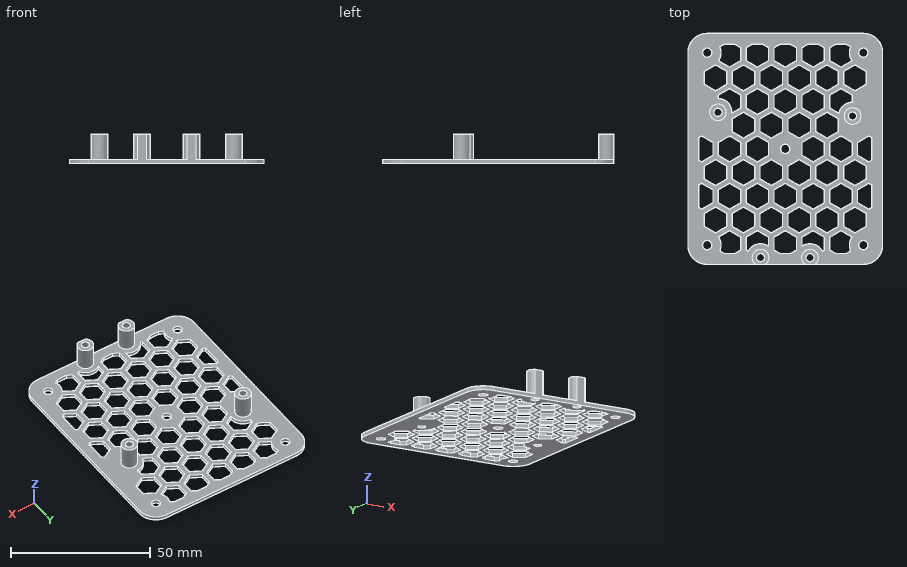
import cadquery as cq

PLATE_WIDTH = 70.0
PLATE_LENGTH = 83.0
PLATE_THICKNESS = 1.5
CORNER_RADIUS = 7.0
MOUNT_HOLE_DIAMETER = 3.2

HEX_ACROSS_CORNERS = 9.2
LAST_ROW = 4
LAST_COLUMN = 3
GRID_SPAN_X = 60.0
GRID_SPAN_Y = 68.0
HEX_PITCH = GRID_SPAN_X / (2 * LAST_COLUMN)
ROW_PITCH = GRID_SPAN_Y / (2 * LAST_ROW)
BORDER = 4.0
PAD_DIAMETER = 10.05

TOTAL_HEIGHT = 10.5
STANDOFF_DIAMETER = 6.0
STANDOFF_BORE = 2.8
UPPER_STANDOFF_X = 24.15
LEFT_STANDOFF_Y = 13.1
RIGHT_STANDOFF_Y = 11.8
LOWER_STANDOFF_X = 8.9
LOWER_STANDOFF_Y = -39.0

MOUNT_X = PLATE_WIDTH / 2 - CORNER_RADIUS
MOUNT_Y = PLATE_LENGTH / 2 - CORNER_RADIUS
MOUNT_POINTS = [(0, 0)] + [(sx * MOUNT_X, sy * MOUNT_Y) for sx in (-1, 1) for sy in (-1, 1)]
STANDOFF_POINTS = [
    (-UPPER_STANDOFF_X, LEFT_STANDOFF_Y),
    (UPPER_STANDOFF_X, RIGHT_STANDOFF_Y),
    (-LOWER_STANDOFF_X, LOWER_STANDOFF_Y),
    (LOWER_STANDOFF_X, LOWER_STANDOFF_Y),
]

SOLID_CELLS = {(-4, 3), (0, 0), (1, 2.5), (2, 3), (4, 3)}


def cylinders(points, diameter, height):
    """Upright cylinders standing on Z = 0."""
    return cq.Workplane("XY").pushPoints(points).circle(diameter / 2).extrude(height)


def hex_centres():
    """Centres of the open cells; odd rows are shifted by half a pitch."""
    centres = []
    for row in range(-LAST_ROW, LAST_ROW + 1):
        shift = 0.5 * (row % 2)
        for index in range(-LAST_COLUMN, LAST_COLUMN + 1):
            column = index + shift
            is_open = (row, abs(column)) not in SOLID_CELLS
            if is_open and column <= LAST_COLUMN:
                centres.append((column * HEX_PITCH, row * ROW_PITCH))
    return centres


def grille_openings():
    """Hexagonal cells trimmed to the border and kept clear of every hole and standoff."""
    cells = (
        cq.Workplane("XY")
        .transformed(rotate=(0, 0, 90))
        .pushPoints([(y, -x) for x, y in hex_centres()])
        .polygon(6, HEX_ACROSS_CORNERS)
        .extrude(PLATE_THICKNESS)
    )
    window = cq.Workplane("XY").box(
        PLATE_WIDTH - 2 * BORDER,
        PLATE_LENGTH - 2 * BORDER,
        PLATE_THICKNESS,
        centered=(True, True, False),
    )
    pads = cylinders(MOUNT_POINTS + STANDOFF_POINTS, PAD_DIAMETER, PLATE_THICKNESS)
    return cells.intersect(window).cut(pads)


def base_plate():
    """Rounded plate with the grille openings cut through it."""
    plate = (
        cq.Workplane("XY")
        .rect(PLATE_WIDTH, PLATE_LENGTH)
        .extrude(PLATE_THICKNESS)
        .edges("|Z")
        .fillet(CORNER_RADIUS)
    )
    return plate.cut(grille_openings())


def standoffs():
    """Standoffs, with the lower pair cut flush with the plate edge."""
    envelope = cq.Workplane("XY").box(
        PLATE_WIDTH, PLATE_LENGTH, TOTAL_HEIGHT, centered=(True, True, False)
    )
    return cylinders(STANDOFF_POINTS, STANDOFF_DIAMETER, TOTAL_HEIGHT).intersect(envelope)


result = (
    base_plate()
    .union(standoffs())
    .cut(cylinders(MOUNT_POINTS, MOUNT_HOLE_DIAMETER, PLATE_THICKNESS))
    .cut(cylinders(STANDOFF_POINTS, STANDOFF_BORE, TOTAL_HEIGHT))
)